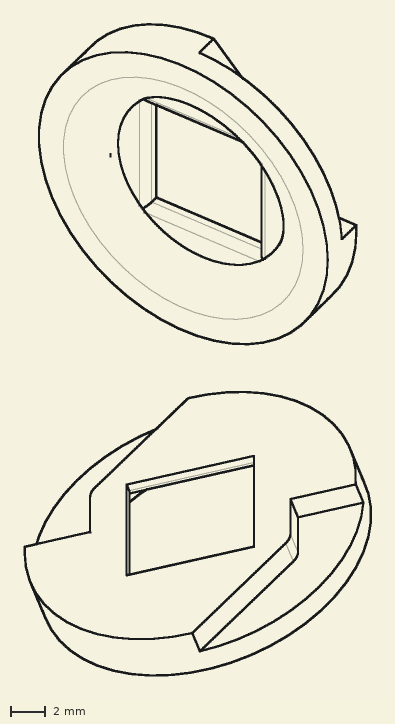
import cadquery as cq

disc_radius = 10.0
thickness = 3.0
front_layer = 1.5

recess_floor_radius = 5.85
recess_depth = 2.0
flare_radius = 2.5
flare_width = (flare_radius**2 - (flare_radius - recess_depth) ** 2) ** 0.5
recess_mouth_radius = recess_floor_radius + flare_width

square_side = 7.68
square_rim_radius = 0.5
rim_side = square_side + 2 * square_rim_radius

hub_half_width = 6.05
hub_corner_height = 3.88
hub_corner_radius = 1.0
tab_edge_height = 0.52
slant_end_x = 0.12
overrun = 2.0


def make_disc():
    """Plain disc from the front face to the back face."""
    return cq.Workplane("XZ").circle(disc_radius).extrude(-thickness)


def make_relief():
    """Region beside the hub, between the two tabs, removed from the back layer."""
    outside = disc_radius + overrun
    relief = (
        cq.Workplane("XZ", origin=(0, front_layer, 0))
        .moveTo(slant_end_x, disc_radius)
        .lineTo(hub_half_width, hub_corner_height)
        .lineTo(hub_half_width, tab_edge_height)
        .lineTo(outside, tab_edge_height)
        .lineTo(outside, outside)
        .lineTo(slant_end_x, outside)
        .close()
        .extrude(-(thickness - front_layer))
    )
    corner = cq.selectors.NearestToPointSelector(
        (hub_half_width, (front_layer + thickness) / 2, hub_corner_height)
    )
    return relief.edges(corner).fillet(hub_corner_radius)


def make_recess():
    """Revolved recess whose wall curves inward from the front face to the floor."""
    diagonal = flare_radius * 0.5**0.5
    return (
        cq.Workplane("XY")
        .lineTo(recess_mouth_radius, 0)
        .threePointArc(
            (recess_mouth_radius - diagonal, flare_radius - diagonal),
            (recess_floor_radius, recess_depth),
        )
        .lineTo(0, recess_depth)
        .close()
        .revolve(360, (0, 0, 0), (0, 1, 0))
    )


def make_square_hole():
    """Square hole, widened at the recess floor by a rounded rim."""
    hole = cq.Workplane("XZ").rect(square_side, square_side).extrude(-thickness)
    rim = (
        cq.Workplane("XZ", origin=(0, recess_depth, 0))
        .rect(rim_side, rim_side)
        .extrude(-square_rim_radius)
    )
    half_rim = rim_side / 2
    rounding = (
        cq.Workplane("XY")
        .center(half_rim, recess_depth + square_rim_radius)
        .circle(square_rim_radius)
        .extrude(half_rim, both=True)
    )
    for quarter in range(4):
        rim = rim.cut(rounding.rotate((0, 0, 0), (0, 1, 0), 90 * quarter))
    return hole.union(rim)


relief = make_relief()
opposite_relief = relief.rotate((0, 0, 0), (0, 1, 0), 180)
result = make_disc().cut(relief).cut(opposite_relief).cut(make_recess()).cut(make_square_hole())